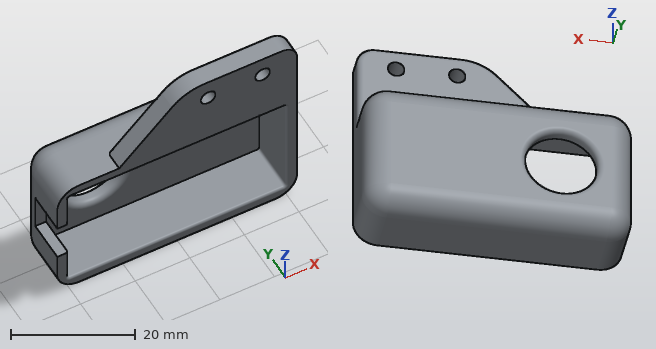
import cadquery as cq
import math

width = 43.95
depth = 11.8
box_height = 24.15
total_height = 36.28
box_radius = 4.0

wall = 2.0
cavity_depth = 9.0
cavity_corner_radius = 0.5
lip_radius = 0.5

window_diameter = 11.75
window_x = 11.95
window_z = box_height / 2
window_rounding = 1.0
selection_margin = 0.45

notch_height = 7.05
notch_depth = 7.35

plate_thickness = 4.0
plate_start_x = 11.35
plate_shoulder_radius = 8.3
plate_shoulder_angle = math.radians(45)
plate_corner_radius = 3.0
plate_edge_radius = 1.0
plate_root_z = box_height - box_radius
screw_diameter = 2.7
screw_spacing = 10.0
screw_count = 2
screw_first_x = 27.65
screw_z = 32.45


def block(x_start, x_end, y_end, z_start, z_end):
    """Box reaching from the open face at Y = 0 back to y_end."""
    return cq.Workplane("XY").box(
        x_end - x_start, y_end, z_end - z_start, centered=False
    ).translate((x_start, 0, z_start))


def cylinder_along_y(diameter, x, z):
    """Cylinder through the full depth of the part."""
    return cq.Workplane("XZ", origin=(x, 0, z)).circle(diameter / 2).extrude(-depth)


def rounded_box():
    body = block(0, width, depth, 0, box_height)
    return body.edges("|Y").fillet(box_radius).faces(">Y").edges().fillet(box_radius)


def mounting_plate():
    """Plate with a 45 degree shoulder, rounded along its rear edges."""
    half_angle = plate_shoulder_angle / 2
    rise = total_height - box_height
    top_x = plate_start_x + rise
    tangent = plate_shoulder_radius * math.tan(half_angle)
    diagonal_step = tangent * math.cos(plate_shoulder_angle)
    arc_center_x = top_x + tangent
    arc_center_z = total_height - plate_shoulder_radius
    arc_middle = (
        arc_center_x - plate_shoulder_radius * math.sin(half_angle),
        arc_center_z + plate_shoulder_radius * math.cos(half_angle),
    )
    corner_x = width - plate_corner_radius
    corner_z = total_height - plate_corner_radius
    corner_middle = (
        corner_x + plate_corner_radius * math.sqrt(0.5),
        corner_z + plate_corner_radius * math.sqrt(0.5),
    )
    root_x = plate_start_x - (box_height - plate_root_z)
    plate = (
        cq.Workplane("XZ")
        .moveTo(root_x, plate_root_z)
        .lineTo(top_x - diagonal_step, total_height - diagonal_step)
        .threePointArc(arc_middle, (arc_center_x, total_height))
        .lineTo(corner_x, total_height)
        .threePointArc(corner_middle, (width, corner_z))
        .lineTo(width, plate_root_z)
        .close()
        .extrude(-plate_thickness)
    )
    return plate.faces(">Y").edges("not <Z").fillet(plate_edge_radius)


def cavity():
    pocket = block(wall, width - wall, cavity_depth, wall, box_height - wall)
    return pocket.edges("|Y").fillet(cavity_corner_radius)


def side_notch():
    bottom = (box_height - notch_height) / 2
    return block(0, wall, notch_depth, bottom, bottom + notch_height)


shell = rounded_box().union(mounting_plate()).cut(cavity())
lip_box = cq.selectors.BoxSelector(
    (wall / 2, -lip_radius / 2, wall / 2),
    (width - wall / 2, lip_radius / 2, box_height - wall / 2),
    boundingbox=True,
)
shell = shell.edges(lip_box).fillet(lip_radius)

shell = shell.cut(cylinder_along_y(window_diameter, window_x, window_z))
window_reach = window_diameter / 2 + selection_margin
window_box = cq.selectors.BoxSelector(
    (window_x - window_reach, cavity_depth - selection_margin, window_z - window_reach),
    (window_x + window_reach, depth + selection_margin, window_z + window_reach),
    boundingbox=True,
)
shell = shell.edges("%CIRCLE").edges(window_box).fillet(window_rounding)

for index in range(screw_count):
    shell = shell.cut(
        cylinder_along_y(screw_diameter, screw_first_x + index * screw_spacing, screw_z)
    )
result = shell.cut(side_notch())